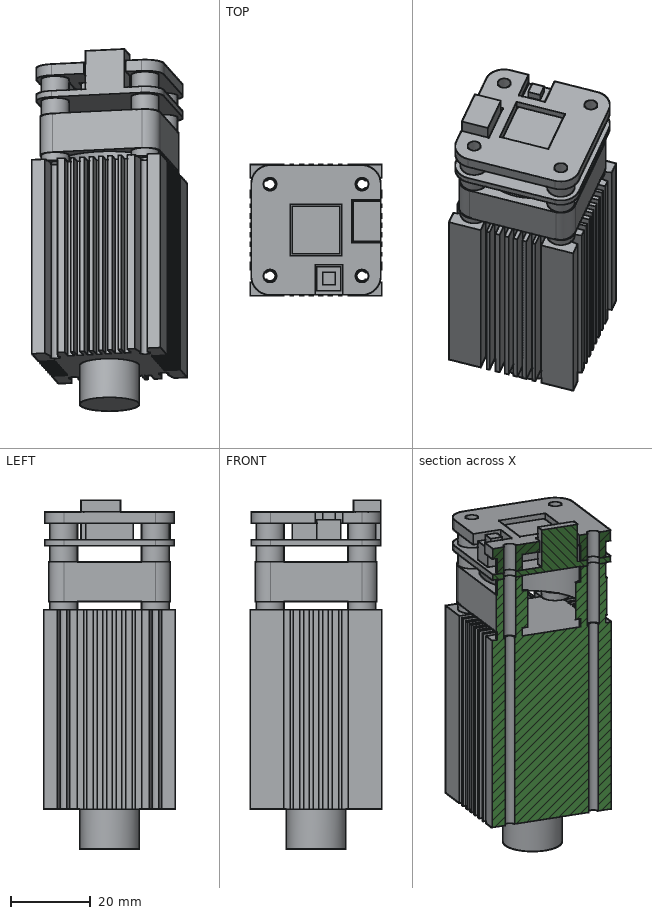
import cadquery as cq
import math

screw_pitch = 23.0
screw_clearance_diameter = 3.2
spacer_diameter = 7.0
electronics_side = 32.55
electronics_corner_radius = (electronics_side - screw_pitch) / 2

lens_diameter = 15.0
lens_height = 10.0

heatsink_side = 33.0
heatsink_height = 50.05
fin_slot_depth = 4.0
inner_slot_width = 1.3
outer_slot_width = 1.6
side_slots = [(2.4, inner_slot_width), (4.9, outer_slot_width), (7.3, outer_slot_width)]

screw_channel_diameter = 2.5
groove_mouth_width = 3.15
groove_neck_width = 1.7

fan_side = 30.5
fan_corner_radius = (fan_side - screw_pitch) / 2
fan_height = 10.0
fan_bore_diameter = 26.6
fan_foot_height = 2.0

board_spacer_height = 4.0
board_thickness = 1.6

chip_side = 12.0
chip_height = 5.7

button_side = 6.0
button_x = 3.2
button_y = -12.2
button_height = 5.0
plunger_side = 3.15
plunger_height = 1.9

connector_length_x = 6.9
connector_length_y = 10.0
connector_y = 2.2

cover_spacer_height = 4.0
cover_thickness = 2.9
connector_rise = 3.0
component_clearance = 0.4

heatsink_bottom = lens_height
heatsink_top = heatsink_bottom + heatsink_height
fan_bottom = heatsink_top + fan_foot_height
fan_top = fan_bottom + fan_height
board_bottom = fan_top + board_spacer_height
board_top = board_bottom + board_thickness
cover_bottom = board_top + cover_spacer_height
cover_top = cover_bottom + cover_thickness
connector_top = cover_top + connector_rise

connector_x_max = electronics_side / 2
connector_x_min = connector_x_max - connector_length_x
connector_y_min = connector_y - connector_length_y / 2
connector_y_max = connector_y + connector_length_y / 2

screw_positions = [
    (sx * screw_pitch / 2, sy * screw_pitch / 2) for sx in (-1, 1) for sy in (-1, 1)
]


def block(x_min, x_max, y_min, y_max, z_min, z_max):
    """Box given by its limits along each axis."""
    size = (x_max - x_min, y_max - y_min, z_max - z_min)
    return cq.Workplane("XY").box(*size, centered=False).translate((x_min, y_min, z_min))


def square_block(x, y, side, z_min, z_max):
    """Upright square block centred on (x, y)."""
    half = side / 2
    return block(x - half, x + half, y - half, y + half, z_min, z_max)


def rounded_plate(side, corner_radius, z_min, z_max):
    """Square plate with rounded upright edges, centred on the Z axis."""
    return square_block(0, 0, side, z_min, z_max).edges("|Z").fillet(corner_radius)


def screw_cylinders(diameter, z_min, z_max):
    """Cylinders on all four screw axes: spacers to add or holes to cut."""
    return (
        cq.Workplane("XY", origin=(0, 0, z_min))
        .pushPoints(screw_positions)
        .circle(diameter / 2)
        .extrude(z_max - z_min)
    )


def fin_slots():
    """Upright slots between the fins of the -Y face."""
    face = -heatsink_side / 2
    slots = [(0, inner_slot_width)]
    slots += [(side * offset, width) for side in (-1, 1) for offset, width in side_slots]
    cutter = cq.Workplane("XY")
    for centre, width in slots:
        cutter = cutter.union(
            block(
                centre - width / 2, centre + width / 2,
                face, face + fin_slot_depth,
                heatsink_bottom, heatsink_top,
            )
        )
    return cutter


def screw_groove(side_x, side_y):
    """Tapered groove that opens one screw channel to the +X or -X face."""
    face_x = side_x * heatsink_side / 2
    channel_radius = screw_channel_diameter / 2
    neck_offset = math.sqrt(channel_radius**2 - (groove_neck_width / 2) ** 2)
    neck_x = side_x * (screw_pitch / 2 + neck_offset)
    axis_x = side_x * screw_pitch / 2
    axis_y = side_y * screw_pitch / 2
    half_mouth = groove_mouth_width / 2
    half_neck = groove_neck_width / 2
    outline = [
        (face_x, axis_y - half_mouth),
        (neck_x, axis_y - half_neck),
        (axis_x, axis_y),
        (neck_x, axis_y + half_neck),
        (face_x, axis_y + half_mouth),
    ]
    return (
        cq.Workplane("XY", origin=(0, 0, heatsink_bottom))
        .polyline(outline)
        .close()
        .extrude(heatsink_height)
    )


def make_heatsink():
    """Finned block with open screw channels and the lens barrel below it."""
    body = square_block(0, 0, heatsink_side, heatsink_bottom, heatsink_top)
    slots = fin_slots()
    for quarter_turn in range(4):
        body = body.cut(slots.rotate((0, 0, 0), (0, 0, 1), 90 * quarter_turn))
    for side_x in (-1, 1):
        for side_y in (-1, 1):
            body = body.cut(screw_groove(side_x, side_y))
    body = body.cut(screw_cylinders(screw_channel_diameter, heatsink_bottom, heatsink_top))
    lens_barrel = cq.Workplane("XY").circle(lens_diameter / 2).extrude(lens_height)
    return body.union(lens_barrel)


def make_fan():
    """Fan frame with feet below it and the board spacers above it."""
    frame = rounded_plate(fan_side, fan_corner_radius, fan_bottom, fan_top)
    bore = (
        cq.Workplane("XY", origin=(0, 0, fan_bottom))
        .circle(fan_bore_diameter / 2)
        .extrude(fan_height)
    )
    frame = frame.cut(bore)
    frame = frame.union(screw_cylinders(spacer_diameter, heatsink_top, fan_bottom))
    frame = frame.union(screw_cylinders(spacer_diameter, fan_top, board_bottom))
    return frame.cut(screw_cylinders(screw_clearance_diameter, heatsink_top, board_bottom))


def make_laser_module():
    """Heatsink and fan joined through the fan feet."""
    return make_heatsink().union(make_fan())


def make_circuit_board():
    """Board carrying the chip, the push button and the connector."""
    board = rounded_plate(electronics_side, electronics_corner_radius, board_bottom, board_top)
    board = board.cut(screw_cylinders(screw_clearance_diameter, board_bottom, board_top))
    chip = square_block(0, 0, chip_side, board_top, board_top + chip_height)
    button_top = board_top + button_height
    button = square_block(button_x, button_y, button_side, board_top, button_top)
    plunger = square_block(
        button_x, button_y, plunger_side, button_top, button_top + plunger_height
    )
    connector = block(
        connector_x_min, connector_x_max,
        connector_y_min, connector_y_max,
        board_top, connector_top,
    )
    return board.union(chip).union(button).union(plunger).union(connector)


def make_cover():
    """Cover plate on spacers, with an opening around each component."""
    cover = rounded_plate(electronics_side, electronics_corner_radius, cover_bottom, cover_top)
    cover = cover.union(screw_cylinders(spacer_diameter, board_top, cover_bottom))
    cover = cover.cut(screw_cylinders(screw_clearance_diameter, board_top, cover_top))

    chip_window_side = chip_side + 2 * component_clearance
    cover = cover.cut(square_block(0, 0, chip_window_side, cover_bottom, cover_top))

    half_button_notch = button_side / 2 + component_clearance
    button_notch = block(
        button_x - half_button_notch, button_x + half_button_notch,
        -electronics_side / 2, button_y + half_button_notch,
        cover_bottom, cover_top,
    )
    connector_notch = block(
        connector_x_min - component_clearance, electronics_side / 2,
        connector_y_min - component_clearance, connector_y_max + component_clearance,
        cover_bottom, cover_top,
    )
    return cover.cut(button_notch).cut(connector_notch)


laser_module = make_laser_module()
circuit_board = make_circuit_board()
cover = make_cover()

result = cq.Compound.makeCompound([laser_module.val(), circuit_board.val(), cover.val()])